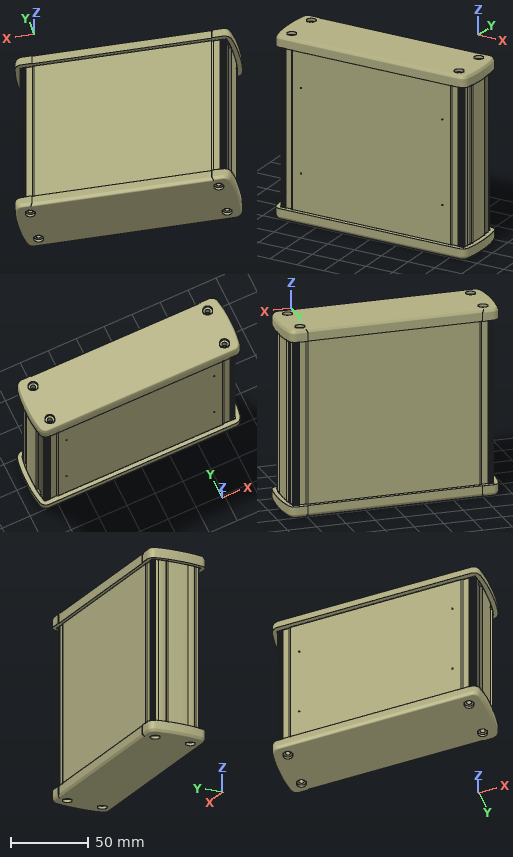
import cadquery as cq
import math

LENGTH_X = 146.6
DEPTH_Y = 41.6
HEIGHT_Z = 129.0

END_FLAT = 2.3

CAP_HEIGHT = 7.9
CAP_END_RADIUS = 68.9
CAP_CORNER_RADIUS = 5.1
CAP_BEVEL_HEIGHT = 2.0
CAP_BEVEL_ANGLE = 30
CAP_EDGE_RADIUS = 1.0
CAP_RECESS_HALF_LENGTH = 59.5
CAP_RECESS_DEPTH = 0.5
SOCKET_DEPTH = 0.7

BODY_HALF_X = 70.0
BODY_HALF_Y = 17.5
BODY_END_RADIUS = 71.1
PANEL_HALF_LENGTH = 60.0
PANEL_RISE = 0.5
PANEL_RAMP = 1.2

GROOVE_START = 7.2
GROOVE_LIP_WIDTH = 0.6
GROOVE_LIP_DEPTH = 1.0
GROOVE_DEPTH = 2.0
RIB_START = 9.8
RIB_END = 11.0
RIB_RISE = 0.3
GROOVE_SIDE = 13.0
GROOVE_END = 13.6
GROOVE_BULGE = 0.1

FLUTE_COUNT = 6
FLUTE_DEPTH = 0.3
FLUTES_START = (68.6, 15.8)
FLUTES_END = (64.2, BODY_HALF_Y)

SCREW_X = 62.5
SCREW_Y = 12.8
COUNTERBORE_DIAMETER = 6.5
COUNTERBORE_DEPTH = 2.0
CAP_HOLE_DIAMETER = 3.2
BODY_HOLE_DIAMETER = 3.0

PIN_HOLE_X = 52.8
PIN_HOLE_Z = 30.0
PIN_HOLE_DIAMETER = 0.7
PIN_HOLE_DEPTH = 1.5

CLEARANCE = 1.5
SELECTION_MARGIN = 0.01
QUADRANTS = [(1, 1), (1, -1), (-1, 1), (-1, -1)]
SCREW_POINTS = [(sx * SCREW_X, sy * SCREW_Y) for sx, sy in QUADRANTS]

cap_inner_z = HEIGHT_Z / 2 - CAP_HEIGHT
body_half_z = cap_inner_z + SOCKET_DEPTH
panel_half_y = BODY_HALF_Y + PANEL_RISE


def end_x(half_x, radius, y):
    """X of a bowed end at the distance y from the middle of the end."""
    run = max(abs(y) - END_FLAT, 0)
    return half_x - radius + math.sqrt(radius**2 - run**2)


def bowed_outline(half_x, half_y, radius, z):
    """Rectangle whose two ends bow outward around a short flat."""
    mid_y = (half_y + END_FLAT) / 2
    mid_x = end_x(half_x, radius, mid_y)
    corner_x = end_x(half_x, radius, half_y)
    return (
        cq.Workplane("XY", origin=(0, 0, z))
        .moveTo(-corner_x, -half_y)
        .lineTo(corner_x, -half_y)
        .threePointArc((mid_x, -mid_y), (half_x, -END_FLAT))
        .lineTo(half_x, END_FLAT)
        .threePointArc((mid_x, mid_y), (corner_x, half_y))
        .lineTo(-corner_x, half_y)
        .threePointArc((-mid_x, mid_y), (-half_x, END_FLAT))
        .lineTo(-half_x, -END_FLAT)
        .threePointArc((-mid_x, -mid_y), (-corner_x, -half_y))
        .close()
    )


def in_quadrants(shape):
    """The shape with its mirror images across X, across Y and across both."""
    pair = [shape, shape.mirror("YZ")]
    return pair + [each.mirror("XZ") for each in pair]


def panel_slab(half_z):
    """Raised panels on both long sides, with ramped edges, as one slab through the body."""
    top = PANEL_HALF_LENGTH - PANEL_RAMP
    return (
        cq.Workplane("XY", origin=(0, 0, -half_z))
        .polyline([
            (-PANEL_HALF_LENGTH, -BODY_HALF_Y),
            (-top, -panel_half_y),
            (top, -panel_half_y),
            (PANEL_HALF_LENGTH, -BODY_HALF_Y),
            (PANEL_HALF_LENGTH, BODY_HALF_Y),
            (top, panel_half_y),
            (-top, panel_half_y),
            (-PANEL_HALF_LENGTH, BODY_HALF_Y),
        ])
        .close()
        .extrude(2 * half_z)
    )


def body_envelope(half_z):
    """The body without grooves, flutes and holes."""
    block = bowed_outline(BODY_HALF_X, BODY_HALF_Y, BODY_END_RADIUS, -half_z).extrude(2 * half_z)
    return block.union(panel_slab(half_z))


def end_groove():
    """Cutting shape of the groove in the +X end, on the +Y side."""
    floor_x = BODY_HALF_X - GROOVE_DEPTH
    wall_y = GROOVE_START + GROOVE_LIP_WIDTH
    lip_x = end_x(BODY_HALF_X, BODY_END_RADIUS, GROOVE_START)
    rib_x = floor_x + RIB_RISE
    curve_middle = ((rib_x + floor_x) / 2 + GROOVE_BULGE, (RIB_END + GROOVE_SIDE) / 2)
    outside_x = BODY_HALF_X + CLEARANCE
    return (
        cq.Workplane("XY", origin=(0, 0, -body_half_z))
        .moveTo(outside_x, GROOVE_START)
        .lineTo(lip_x, GROOVE_START)
        .lineTo(lip_x - GROOVE_LIP_DEPTH, wall_y)
        .lineTo(floor_x, wall_y)
        .lineTo(rib_x, RIB_START)
        .lineTo(rib_x, RIB_END)
        .threePointArc(curve_middle, (floor_x, GROOVE_SIDE))
        .lineTo(end_x(BODY_HALF_X, BODY_END_RADIUS, GROOVE_END), GROOVE_END)
        .lineTo(outside_x, GROOVE_END)
        .close()
        .extrude(2 * body_half_z)
    )


def corner_flutes():
    """Cutting shape of the V flutes across the +X +Y corner."""
    start_x, start_y = FLUTES_START
    run_x = FLUTES_END[0] - start_x
    run_y = FLUTES_END[1] - start_y
    length = math.hypot(run_x, run_y)
    points = []
    for i in range(2 * FLUTE_COUNT + 1):
        share = i / (2 * FLUTE_COUNT)
        inset = FLUTE_DEPTH if i % 2 else 0
        points.append((
            start_x + share * run_x + inset * run_y / length,
            start_y + share * run_y - inset * abs(run_x) / length,
        ))
    outside = [
        (FLUTES_END[0], BODY_HALF_Y + CLEARANCE),
        (BODY_HALF_X + CLEARANCE, BODY_HALF_Y + CLEARANCE),
        (BODY_HALF_X + CLEARANCE, start_y),
    ]
    return (
        cq.Workplane("XY", origin=(0, 0, -body_half_z))
        .polyline(points + outside)
        .close()
        .extrude(2 * body_half_z)
    )


def make_body():
    body = body_envelope(body_half_z)
    for cutter in in_quadrants(end_groove()) + in_quadrants(corner_flutes()):
        body = body.cut(cutter)

    screw_channels = (
        cq.Workplane("XY", origin=(0, 0, -body_half_z))
        .pushPoints(SCREW_POINTS)
        .circle(BODY_HOLE_DIAMETER / 2)
        .extrude(2 * body_half_z)
    )
    pin_holes = (
        cq.Workplane("XZ", origin=(0, -panel_half_y, 0))
        .pushPoints([(sx * PIN_HOLE_X, sz * PIN_HOLE_Z) for sx, sz in QUADRANTS])
        .circle(PIN_HOLE_DIAMETER / 2)
        .extrude(-PIN_HOLE_DEPTH)
    )
    return body.cut(screw_channels).cut(pin_holes)


def straight_cap_part():
    """Straight inner part of the cap, with rounded corners and a shallow recess along its +Y side."""
    height = CAP_HEIGHT - CAP_BEVEL_HEIGHT
    block = bowed_outline(LENGTH_X / 2, DEPTH_Y / 2, CAP_END_RADIUS, cap_inner_z).extrude(height)
    block = block.edges("|Z").edges("<Y or >Y").fillet(CAP_CORNER_RADIUS)
    recess = (
        cq.Workplane("XY", origin=(0, DEPTH_Y / 2, cap_inner_z))
        .rect(2 * CAP_RECESS_HALF_LENGTH, 2 * CAP_RECESS_DEPTH)
        .extrude(height)
    )
    return block.cut(recess)


def bevelled_cap():
    """The cap with a steep bevel around its outer face, rounded along both bevel edges."""
    straight = straight_cap_part()
    cap = straight.faces(">Z").wires().toPending().extrude(CAP_BEVEL_HEIGHT, taper=CAP_BEVEL_ANGLE)
    cap = cap.faces(">Z").edges().fillet(CAP_EDGE_RADIUS)

    bevel_z = HEIGHT_Z / 2 - CAP_BEVEL_HEIGHT
    bevel_foot = cq.selectors.BoxSelector(
        (-LENGTH_X, -DEPTH_Y, bevel_z - SELECTION_MARGIN),
        (LENGTH_X, DEPTH_Y, bevel_z + SELECTION_MARGIN),
        boundingbox=True,
    )
    return cap.edges(bevel_foot).fillet(CAP_EDGE_RADIUS)


def make_top_cap():
    cap = bevelled_cap().cut(body_envelope(body_half_z))
    return (
        cap.faces(">Z")
        .workplane(origin=(0, 0, 0))
        .pushPoints(SCREW_POINTS)
        .cboreHole(CAP_HOLE_DIAMETER, COUNTERBORE_DIAMETER, COUNTERBORE_DEPTH)
    )


body = make_body()
top_cap = make_top_cap()
bottom_cap = top_cap.mirror("XY")
result = cq.Compound.makeCompound([body.val(), top_cap.val(), bottom_cap.val()])